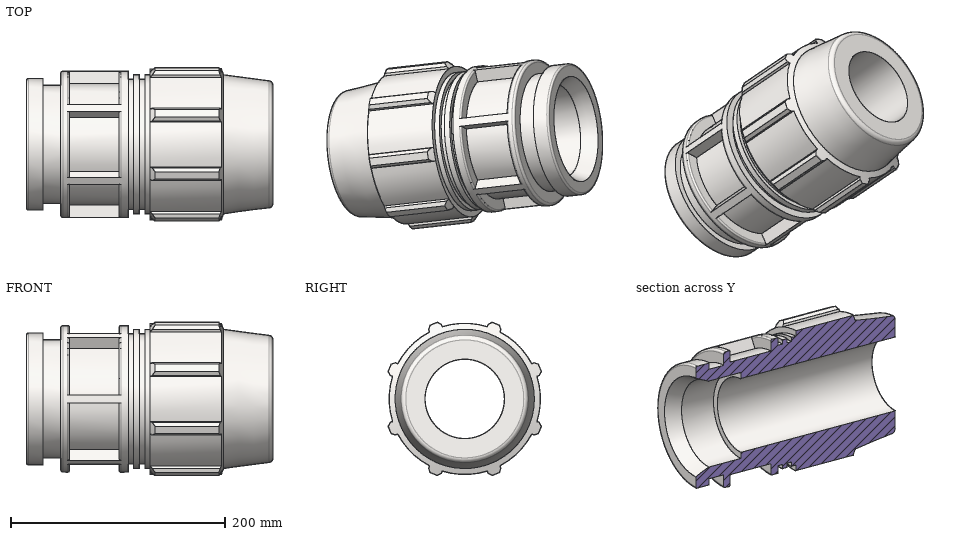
import cadquery as cq
import math

length = 230.0

clearance = 2.3

flange_end = 15.6
flange_radius = 123.0 / 2
flange_fillet = 1.8
neck_radius = 110.6 / 2

collar_start = 32.0
collar_end = 95.0
collar_radius = 136.8 / 2
collar_fillet = 2.3
pocket_start = 40.0
pocket_end = 86.5
pocket_floor_radius = 56.8
pocket_edge_fillet = 1.5
pocket_count = 6
collar_rib_width = 7.5

barrel_radius = 121.7 / 2
ring_radius = 130.0 / 2
ring_spans = [(99.8, 105.3), (110.5, 115.2)]

nut_start = 115.2
nut_end = 184.0
nut_radius = 70.5
nut_chamfer_length = 2.3
tail_start_radius = ring_radius
tail_end_radius = 58.9
tail_fillet = 4.4

nut_rib_count = 8
nut_rib_top_radius = 76.0
nut_rib_top_width = 7.4
nut_rib_base_width = 12.9
nut_rib_shoulder_radius = 72.7
nut_rib_start_chamfer = 4.5

mouth_radius = 99.0 / 2
mouth_depth = 15.0
socket_radius = 86.0 / 2
socket_depth = 51.8
bore_radius = 73.8 / 2


def turned(points):
    """Solid of revolution about X from (x, radius) outline points; the axis closes the outline."""
    start = points[0][0]
    end = points[-1][0]
    outline = [(start, 0)] + points + [(end, 0)]
    return cq.Workplane("XY").polyline(outline).close().revolve(360, (0, 0, 0), (1, 0, 0))


def cylinder(start, end, radius):
    return turned([(start, radius), (end, radius)])


def make_collar():
    """Collar disc with pockets between ribs; the curved pocket rims are rounded."""
    collar = cylinder(collar_start, collar_end, collar_radius).faces("<X").edges().fillet(collar_fillet)
    rim_start = pocket_start - pocket_edge_fillet
    rim_end = pocket_end + pocket_edge_fillet
    rim_radius = collar_radius - pocket_edge_fillet
    arc_drop = pocket_edge_fillet * (1 - math.sqrt(0.5))
    outside_radius = collar_radius + clearance
    groove = (
        cq.Workplane("XY")
        .moveTo(pocket_start, pocket_floor_radius)
        .lineTo(pocket_start, rim_radius)
        .threePointArc((pocket_start - arc_drop, collar_radius - arc_drop), (rim_start, collar_radius))
        .lineTo(rim_start, outside_radius)
        .lineTo(rim_end, outside_radius)
        .lineTo(rim_end, collar_radius)
        .threePointArc((pocket_end + arc_drop, collar_radius - arc_drop), (pocket_end, rim_radius))
        .lineTo(pocket_end, pocket_floor_radius)
        .close()
        .revolve(360, (0, 0, 0), (1, 0, 0))
    )
    for i in range(pocket_count // 2):
        bar = (
            cq.Workplane("YZ", origin=(collar_start, 0, 0))
            .rect(2 * outside_radius, collar_rib_width)
            .extrude(collar_end - collar_start)
            .rotate((0, 0, 0), (1, 0, 0), i * 360 / pocket_count)
        )
        groove = groove.cut(bar)
    return collar.cut(groove)


def make_nut_rib():
    """Straight-sided rib with bevelled shoulders, lying along the top of the nut."""
    root_radius = tail_start_radius - clearance
    half_top = nut_rib_top_width / 2
    half_base = nut_rib_base_width / 2
    return (
        cq.Workplane("YZ", origin=(nut_start, 0, 0))
        .polyline([
            (-half_base, root_radius),
            (-half_base, nut_rib_shoulder_radius),
            (-half_top, nut_rib_top_radius),
            (half_top, nut_rib_top_radius),
            (half_base, nut_rib_shoulder_radius),
            (half_base, root_radius),
        ])
        .close()
        .extrude(nut_end - nut_start)
    )


def make_nut():
    """Nut with evenly spaced grip ribs; body and ribs are bevelled together by coned ends."""
    nut = cylinder(nut_start, nut_end, nut_radius)
    rib = make_nut_rib()
    pitch = 360 / nut_rib_count
    for i in range(nut_rib_count):
        nut = nut.union(rib.rotate((0, 0, 0), (1, 0, 0), (i + 0.5) * pitch))
    near_slope = (nut_rib_top_radius - nut_radius) / nut_rib_start_chamfer
    far_slope = (nut_radius - tail_start_radius) / nut_chamfer_length
    envelope_radius = nut_rib_top_radius + clearance
    envelope = turned([
        (nut_start, nut_radius),
        (nut_start + (envelope_radius - nut_radius) / near_slope, envelope_radius),
        (nut_end - (envelope_radius - tail_start_radius) / far_slope, envelope_radius),
        (nut_end, tail_start_radius),
    ])
    return nut.intersect(envelope)


def make_tail():
    """Tapered tail with a rounded end."""
    tail = turned([(nut_end, tail_start_radius), (length, tail_end_radius)])
    return tail.faces(">X").edges().fillet(tail_fillet)


def make_bore():
    """Tapered mouth, socket, and the narrower bore that runs right through."""
    return turned([
        (0, mouth_radius),
        (mouth_depth, socket_radius),
        (socket_depth, socket_radius),
        (socket_depth, bore_radius),
        (length, bore_radius),
    ])


flange = cylinder(0, flange_end, flange_radius).faces("<X").edges().fillet(flange_fillet)
neck = cylinder(flange_end, collar_start, neck_radius)
barrel = cylinder(collar_end, nut_start, barrel_radius)

result = flange.union(neck).union(make_collar()).union(barrel).union(make_nut()).union(make_tail())
for ring_start, ring_end in ring_spans:
    result = result.union(cylinder(ring_start, ring_end, ring_radius))
result = result.cut(make_bore())